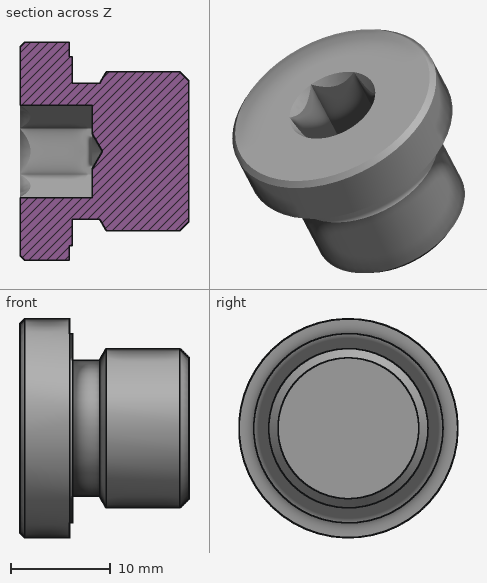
import cadquery as cq
import math

total_length = 17.0
head_diameter = 22.0
head_length = 5.0
head_chamfer = 0.5
collar_diameter = 19.0
collar_length = 0.3
neck_diameter = 13.7
neck_end = 8.0
shank_diameter = 16.0
shoulder_angle = 60.0
end_chamfer = 0.92

socket_flats = 8.0
socket_corners = socket_flats / math.cos(math.radians(30))
socket_depth = 7.25
lead_in_angle = 30.0
drill_diameter = 3.5
drill_point_angle = 120.0


def cone_length(radial_change, angle_from_axis):
    """Axial length of a cone with the given slope."""
    return radial_change / math.tan(math.radians(angle_from_axis))


def cone_pocket(start_x, diameter, length):
    """Cone with its base at start_x and its tip pointing along +X."""
    return (
        cq.Workplane("XY")
        .moveTo(start_x, 0)
        .lineTo(start_x, diameter / 2)
        .lineTo(start_x + length, 0)
        .close()
        .revolve(360, (0, 0, 0), (1, 0, 0))
    )


def turned_body():
    head_radius = head_diameter / 2
    collar_end = head_length + collar_length
    neck_radius = neck_diameter / 2
    shank_radius = shank_diameter / 2
    shank_start = neck_end + cone_length(shank_radius - neck_radius, shoulder_angle)
    profile = [
        (0, 0),
        (0, head_radius - head_chamfer),
        (head_chamfer, head_radius),
        (head_length, head_radius),
        (head_length, collar_diameter / 2),
        (collar_end, collar_diameter / 2),
        (collar_end, neck_radius),
        (neck_end, neck_radius),
        (shank_start, shank_radius),
        (total_length - end_chamfer, shank_radius),
        (total_length, shank_radius - end_chamfer),
        (total_length, 0),
    ]
    return cq.Workplane("XY").polyline(profile).close().revolve(360, (0, 0, 0), (1, 0, 0))


def hexagon_socket():
    hexagon = cq.Workplane("YZ").polygon(6, socket_corners).extrude(socket_depth)
    lead_in = cone_pocket(0, socket_corners, cone_length(socket_corners / 2, lead_in_angle))
    drill_point = cone_pocket(
        socket_depth, drill_diameter, cone_length(drill_diameter / 2, drill_point_angle / 2)
    )
    return hexagon.union(lead_in).union(drill_point)


result = turned_body().cut(hexagon_socket())